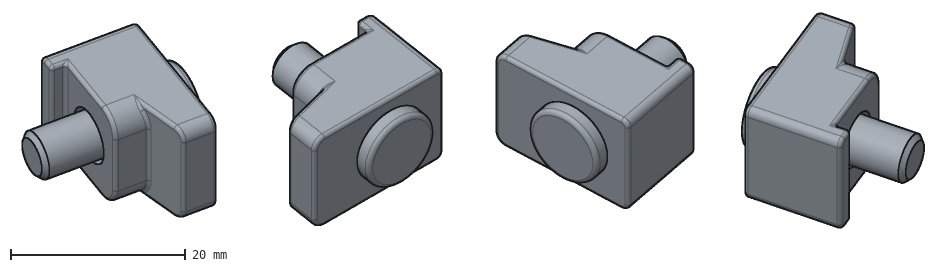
import cadquery as cq
import math

length = 19.5
height = 14.0
block_length = 14.0
block_depth = 10.5
lip_width = 2.5
lip_depth = 12.5
nose_root_depth = 6.0
nose_angle = 15.0
nose_tip_depth = nose_root_depth - (length - block_length) * math.tan(math.radians(nose_angle))
nose_inner_depth = nose_root_depth + block_length * math.tan(math.radians(nose_angle))
left_corner_radius = 1.0
nose_corner_radius = 1.6
block_corner_radius = 3.0
edge_radius = 0.5

screw_x = 8.0
hole_diameter = 7.0
shank_diameter = 6.0
head_diameter = 10.0
head_height = 2.0
head_edge_radius = 0.6
neck_radius = 0.4
screw_reach = 18.0
tip_chamfer = 0.65


def extrude_plan(points):
    """Extrude an outline in the XY plane over the full height."""
    return (
        cq.Workplane("XY", origin=(0, 0, -height / 2))
        .polyline(points)
        .close()
        .extrude(height)
    )


def make_nose():
    """Full-length wedge with its tip corners and all its outer edges rounded."""
    wedge = extrude_plan([
        (0, 0),
        (length, 0),
        (length, -nose_tip_depth),
        (0, -nose_inner_depth),
    ])
    wedge = wedge.edges("|Y and >X").fillet(nose_corner_radius)
    wedge = wedge.edges("|Y and <X").fillet(left_corner_radius)
    return wedge.edges("not |Y").fillet(edge_radius)


def make_block():
    """Thick block with its right corners and outer edges rounded."""
    block = extrude_plan([
        (0, 0),
        (block_length, 0),
        (block_length, -block_depth),
        (0, -block_depth),
    ])
    block = block.edges("|Y and >X").fillet(block_corner_radius)
    block = block.edges("|Y and <X").fillet(left_corner_radius)
    return block.edges("not |Y").fillet(edge_radius)


def make_lip():
    """Slab along the left side that stands out from the block as a lip."""
    lip = extrude_plan([
        (0, 0),
        (lip_width, 0),
        (lip_width, -lip_depth),
        (0, -lip_depth),
    ])
    lip = lip.edges("|Y and <X").fillet(left_corner_radius)
    return lip.edges(">X or <Y or >Y").fillet(edge_radius)


def make_housing():
    """Block, nose and lip in one piece, with filleted inner corners and a hole for the screw."""
    body = make_block().union(make_nose()).union(make_lip())
    lip_corner = cq.selectors.NearestToPointSelector((lip_width, -block_depth, 0))
    nose_corner = cq.selectors.NearestToPointSelector((block_length, -nose_root_depth, 0))
    body = body.edges(lip_corner).fillet(edge_radius)
    body = body.edges(nose_corner).fillet(edge_radius)
    hole = (
        cq.Workplane("XZ")
        .center(screw_x, 0)
        .circle(hole_diameter / 2)
        .extrude(block_depth)
    )
    return body.cut(hole)


def make_screw():
    """Round-headed screw whose head rests on the rear face of the housing."""
    head_radius = head_diameter / 2
    shank_radius = shank_diameter / 2
    half_section = (
        cq.Workplane("XY", origin=(screw_x, 0, 0))
        .moveTo(0, -screw_reach)
        .lineTo(shank_radius - tip_chamfer, -screw_reach)
        .lineTo(shank_radius, tip_chamfer - screw_reach)
        .lineTo(shank_radius, -neck_radius)
        .radiusArc((shank_radius + neck_radius, 0), neck_radius)
        .lineTo(head_radius, 0)
        .lineTo(head_radius, head_height - head_edge_radius)
        .radiusArc((head_radius - head_edge_radius, head_height), -head_edge_radius)
        .lineTo(0, head_height)
        .close()
    )
    return half_section.revolve(360, (0, 0, 0), (0, 1, 0))


housing = make_housing()
screw = make_screw()
result = cq.Compound.makeCompound([housing.val(), screw.val()])